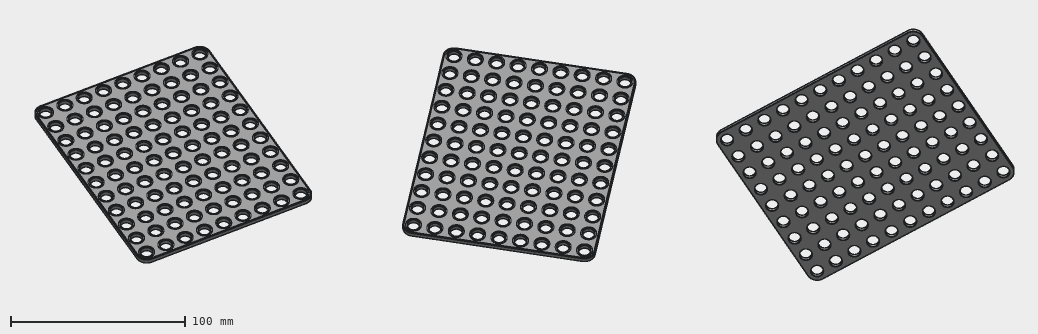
import cadquery as cq

columns = 11
rows = 9
length = 137.5
pitch = length / columns
width = rows * pitch
thickness = pitch / 4
corner_radius = pitch / 2
edge_chamfer = 0.3

hole_diameter = 7.0
hole_chamfer = 0.3

panel_depth = 0.2
border_width = 0.8
ring_diameter = 9.2

top_height = thickness / 2
panel_height = top_height - panel_depth


def make_slab(inset, height):
    """Rounded rectangle, inset from the outline and centred on the origin."""
    slab = cq.Workplane("XY").box(length - 2 * inset, width - 2 * inset, height)
    return slab.edges("|Z").fillet(corner_radius - inset)


def make_hole_cutter():
    """Through hole chamfered at both faces, as a solid of revolution about Z."""
    bore_radius = hole_diameter / 2
    mouth_radius = bore_radius + hole_chamfer
    bore_height = top_height - hole_chamfer
    profile = (
        cq.Workplane("XZ")
        .moveTo(0, -top_height)
        .lineTo(mouth_radius, -top_height)
        .lineTo(bore_radius, -bore_height)
        .lineTo(bore_radius, bore_height)
        .lineTo(mouth_radius, top_height)
        .lineTo(0, top_height)
        .close()
    )
    return profile.revolve(360, (0, 0, 0), (0, 1, 0))


def at_every_hole(shape):
    """Copies of a shape centred on the Z axis, one per hole."""
    grid = cq.Workplane("XY").rarray(pitch, pitch, columns, rows)
    return grid.eachpoint(lambda place: shape.val().moved(place))


def make_panel_cutter():
    """Sunken area of the top face, with a full-height island at each hole."""
    panel = make_slab(border_width, panel_depth).translate((0, 0, top_height - panel_depth / 2))
    island = cq.Workplane("XY").workplane(offset=panel_height).circle(ring_diameter / 2).extrude(panel_depth)
    return panel.cut(at_every_hole(island))


plate = make_slab(0, thickness).faces("<Z or >Z").edges().chamfer(edge_chamfer)
plate = plate.cut(at_every_hole(make_hole_cutter()))
result = plate.cut(make_panel_cutter())